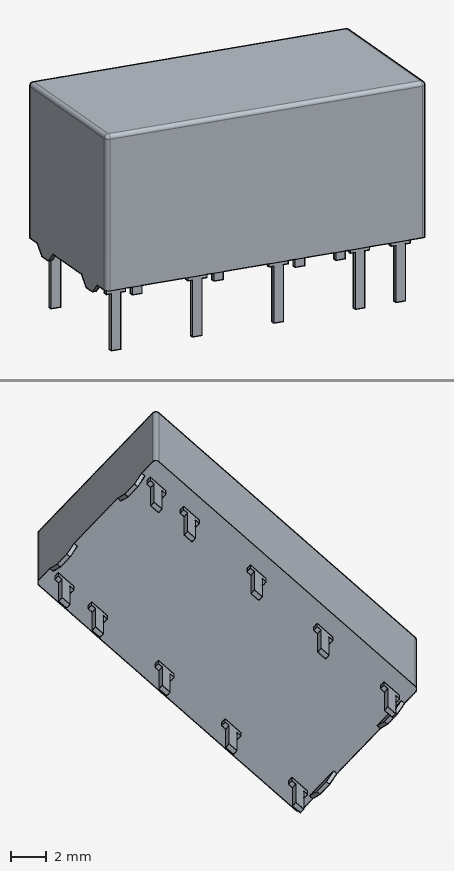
import cadquery as cq


case_width = 9.9
case_length = 20.0
case_height = 9.3
edge_radius = 0.25

foot_height = 0.6
foot_thickness = edge_radius
foot_offset = 2.8
foot_root_width = 2.0
foot_tip_width = foot_root_width - 2 * foot_height

pin_grid = 1.27
row_spacing = 6 * pin_grid
pin_steps = (-7, -3, 1, 5, 7)
pin_thickness = 0.29
pin_width = 0.6
pin_length = 3.4
shoulder_width = 2 * pin_width


def make_case():
    """Block with rounded vertical and top edges and a sharp bottom rim."""
    block = (
        cq.Workplane("XY")
        .workplane(offset=foot_height)
        .box(case_width, case_length, case_height, centered=(True, True, False))
    )
    return block.edges("|Z or >Z").fillet(edge_radius)


def make_foot(x_center, y_back):
    """Tapered foot hanging below the case, reaching foot_thickness toward -Y from y_back."""
    outline = [
        (x_center - foot_root_width / 2, foot_height),
        (x_center - foot_tip_width / 2, 0),
        (x_center + foot_tip_width / 2, 0),
        (x_center + foot_root_width / 2, foot_height),
    ]
    return (
        cq.Workplane("XZ", origin=(0, y_back, 0))
        .polyline(outline)
        .close()
        .extrude(foot_thickness)
    )


def make_pin(x_center, y_center):
    """Flat pin with a wide shoulder between the case and the seating plane."""
    shoulder = (
        cq.Workplane("XY", origin=(x_center, y_center, 0))
        .rect(pin_thickness, shoulder_width)
        .extrude(foot_height)
    )
    shank = (
        cq.Workplane("XY", origin=(x_center, y_center, 0))
        .rect(pin_thickness, pin_width)
        .extrude(-pin_length)
    )
    return shoulder.union(shank)


relay = make_case()

for side in (-1, 1):
    for foot_back in (case_length / 2, -case_length / 2 + foot_thickness):
        relay = relay.union(make_foot(side * foot_offset, foot_back))
    for step in pin_steps:
        relay = relay.union(make_pin(side * row_spacing / 2, step * pin_grid))

result = relay